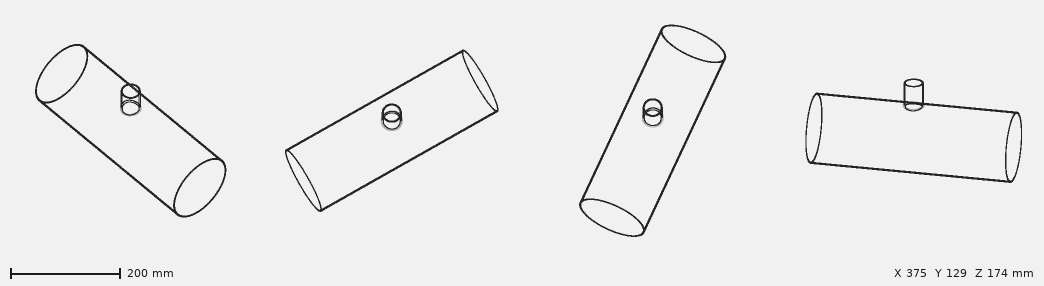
import cadquery as cq

pipe_length = 375.0
pipe_outer_diameter = 129.0
pipe_inner_diameter = 125.0

branch_outer_diameter = 35.0
branch_inner_diameter = 31.0
overall_height = 174.0
joint_fillet_radius = 2.0

pipe_radius = pipe_outer_diameter / 2
branch_top = overall_height - pipe_radius


def pipe_cylinder(diameter):
    """Cylinder along X, centred on the origin."""
    return cq.Workplane("YZ").circle(diameter / 2).extrude(pipe_length / 2, both=True)


def branch_cylinder(diameter):
    """Cylinder from the main pipe's axis up to the branch's open end."""
    return cq.Workplane("XY").circle(diameter / 2).extrude(branch_top)


def joint_edge(body):
    """The closed curve where the branch meets the outside of the main pipe."""
    half_width = branch_outer_diameter / 2
    return body.edges(
        cq.selectors.BoxSelector(
            (-half_width, -half_width, 0),
            (half_width, half_width, pipe_radius + joint_fillet_radius),
        )
    )


tee = pipe_cylinder(pipe_outer_diameter).union(branch_cylinder(branch_outer_diameter))
tee = joint_edge(tee).fillet(joint_fillet_radius)
result = tee.cut(pipe_cylinder(pipe_inner_diameter)).cut(branch_cylinder(branch_inner_diameter))